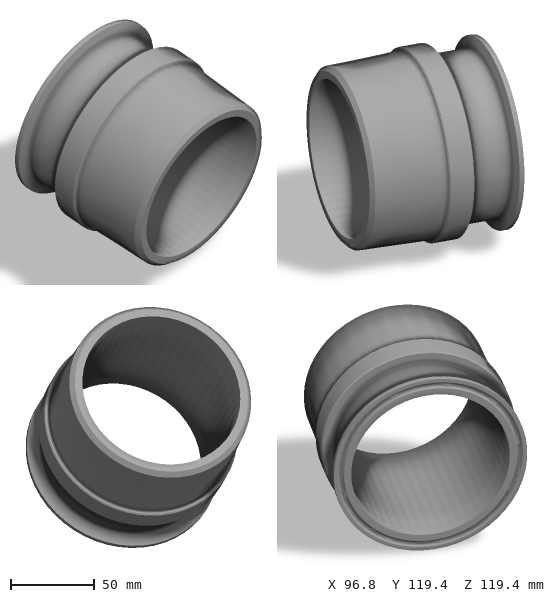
import cadquery as cq

length = 96.8
bore_radius = 97.4 / 2

flange_radius = 118.9 / 2
rim_width = 3.1
flange_root_x = 5.8
flange_root_fillet = 1.4

groove_radius = 54.9
groove_half_width = 1.7
groove_depth = 1.5
groove_edge_fillet = 0.7

neck_radius = 104.1 / 2

collar_radius = 119.4 / 2
collar_start_x = 31.8
collar_end_x = 47.9
collar_edge_chamfer = 0.8
collar_root_fillet = 1.5

thread_radius = 114.8 / 2
thread_root_fillet = 1.3
taper_start_x = 52.8
taper_slope = 1 / 32
end_chamfer = 2.7

selection_margin = 0.01

taper_end_x = length - end_chamfer
taper_end_radius = thread_radius - taper_slope * (taper_end_x - taper_start_x)


def revolve_about_x(profile):
    """Turn a profile of (axial, radial) points about the X axis."""
    return profile.revolve(360, (0, 0, 0), (1, 0, 0))


def circle_box(x, radius):
    """Select edges lying within the flat box that bounds a circle about the X axis."""
    return cq.selectors.BoxSelector(
        (x - selection_margin, -radius, -radius),
        (x + selection_margin, radius, radius),
        boundingbox=True,
    )


def circle_edge(x, radius):
    """Select the circular edge at axial position x with the given radius."""
    return circle_box(x, radius + selection_margin) - circle_box(x, radius - selection_margin)


def make_body():
    """Turned sleeve with flange, neck, collar and tapered end, edges left sharp."""
    outline = [
        (0, bore_radius),
        (0, flange_radius),
        (rim_width, flange_radius),
        (flange_root_x, neck_radius),
        (collar_start_x, neck_radius),
        (collar_start_x, collar_radius),
        (collar_end_x, collar_radius),
        (collar_end_x, thread_radius),
        (taper_start_x, thread_radius),
        (taper_end_x, taper_end_radius),
        (length, taper_end_radius - end_chamfer),
        (length, bore_radius),
    ]
    return revolve_about_x(cq.Workplane("XY").polyline(outline).close())


def make_groove():
    """Ring with a circular-arc section that is cut out of the flange face."""
    section = (
        cq.Workplane("XY")
        .moveTo(0, groove_radius - groove_half_width)
        .threePointArc((groove_depth, groove_radius), (0, groove_radius + groove_half_width))
        .close()
    )
    return revolve_about_x(section)


body = make_body().cut(make_groove())

corner_fillets = [
    (0, groove_radius - groove_half_width, groove_edge_fillet),
    (0, groove_radius + groove_half_width, groove_edge_fillet),
    (flange_root_x, neck_radius, flange_root_fillet),
    (collar_start_x, neck_radius, collar_root_fillet),
    (collar_end_x, thread_radius, thread_root_fillet),
]
for corner_x, corner_radius, fillet_size in corner_fillets:
    body = body.edges(circle_edge(corner_x, corner_radius)).fillet(fillet_size)

for corner_x in (collar_start_x, collar_end_x):
    body = body.edges(circle_edge(corner_x, collar_radius)).chamfer(collar_edge_chamfer)

result = body